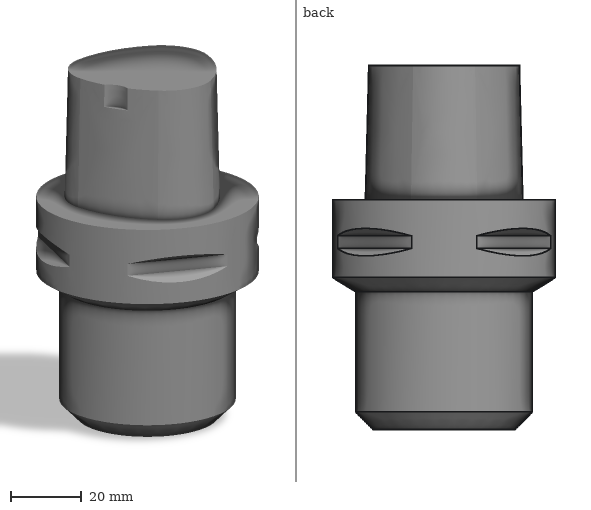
import cadquery as cq
import math

flange_diameter = 63.0
flange_height = 22.0
shank_diameter = 50.0
cone_height = 4.0
body_length = 65.0
end_chamfer = 5.0

polygon_height = 38.0
flat_distance = 20.5
lobe_distance = 23.45
lobe_half_angle = 39.2
side_taper = 1.0 / 40.0
lobe_count = 3

groove_count = 4
groove_first_angle = 45.0
groove_floor_distance = 27.8
groove_floor_height = 3.5
groove_flank_angle = 30.0
groove_depth_below_face = 12.0
cut_clearance = 1.0

notch_radius = 5.5
notch_depth = 6.5
notch_inner_distance = 18.0


def polar(radius, angle):
    """Point at a radius and an angle in degrees from +X."""
    turn = math.radians(angle)
    return radius * math.cos(turn), radius * math.sin(turn)


def offset_point(center, radius, angle):
    """Point on a circle about a given center."""
    dx, dy = polar(radius, angle)
    return center[0] + dx, center[1] + dy


def polygon_outline():
    """Closed outline of small lobe arcs and large side arcs, all tangent.

    Each joint lies on the line through its lobe center and side center. In the
    triangle of the axis and these centers, the law of sines gives both center
    distances as fractions of the difference between the two radii.
    """
    half_pitch = 180.0 / lobe_count
    axis_sine = math.sin(math.radians(half_pitch))
    lobe_ratio = math.sin(math.radians(half_pitch - lobe_half_angle)) / axis_sine
    side_ratio = math.sin(math.radians(lobe_half_angle)) / axis_sine
    radius_difference = (lobe_distance - flat_distance) / (lobe_ratio + side_ratio - 1.0)
    lobe_offset = lobe_ratio * radius_difference
    lobe_radius = lobe_distance - lobe_offset

    first_tip = 90.0
    start = offset_point(polar(lobe_offset, first_tip), lobe_radius, first_tip - lobe_half_angle)
    outline = cq.Workplane("XY").moveTo(*start)
    for index in range(lobe_count):
        tip_angle = first_tip + index * 2.0 * half_pitch
        next_tip = tip_angle + 2.0 * half_pitch
        lobe_center = polar(lobe_offset, tip_angle)
        next_center = polar(lobe_offset, next_tip)
        lobe_end = offset_point(lobe_center, lobe_radius, tip_angle + lobe_half_angle)
        side_end = offset_point(next_center, lobe_radius, next_tip - lobe_half_angle)
        outline = outline.threePointArc(polar(lobe_distance, tip_angle), lobe_end)
        outline = outline.threePointArc(polar(flat_distance, tip_angle + half_pitch), side_end)
    return outline.close()


def turned_body():
    """Flange, cone, shank and end chamfer revolved about Z."""
    flange_radius = flange_diameter / 2.0
    shank_radius = shank_diameter / 2.0
    profile = [
        (0.0, 0.0),
        (flange_radius, 0.0),
        (flange_radius, -flange_height),
        (shank_radius, -flange_height - cone_height),
        (shank_radius, -body_length + end_chamfer),
        (shank_radius - end_chamfer, -body_length),
        (0.0, -body_length),
    ]
    return cq.Workplane("XZ").polyline(profile).close().revolve(360.0, (0, 0, 0), (0, 1, 0))


def tapered_polygon():
    """Polygon shank narrowing upward from the flange face."""
    taper_angle = math.degrees(math.atan(side_taper))
    return polygon_outline().extrude(polygon_height, taper=taper_angle)


def gripper_groove(angle):
    """Straight trapezoidal groove cutter, flaring outward from its flat floor."""
    cut_depth = flange_diameter / 2.0 + cut_clearance - groove_floor_distance
    inner_half = groove_floor_height / 2.0
    outer_half = inner_half + cut_depth * math.tan(math.radians(groove_flank_angle))
    outer_distance = groove_floor_distance + cut_depth
    section = [
        (groove_floor_distance, -groove_depth_below_face - inner_half),
        (outer_distance, -groove_depth_below_face - outer_half),
        (outer_distance, -groove_depth_below_face + outer_half),
        (groove_floor_distance, -groove_depth_below_face + inner_half),
    ]
    cutter = cq.Workplane("XZ").polyline(section).close().extrude(flange_diameter / 2.0, both=True)
    return cutter.rotate((0, 0, 0), (0, 0, 1), angle)


def locating_notch():
    """Vertical round cutter at the top edge of the -Y flat."""
    return (
        cq.Workplane("XY")
        .workplane(offset=polygon_height - notch_depth)
        .center(0.0, -notch_inner_distance - notch_radius)
        .circle(notch_radius)
        .extrude(notch_depth)
    )


result = turned_body().union(tapered_polygon())
for groove_index in range(groove_count):
    groove_angle = groove_first_angle + groove_index * 360.0 / groove_count
    result = result.cut(gripper_groove(groove_angle))
result = result.cut(locating_notch())